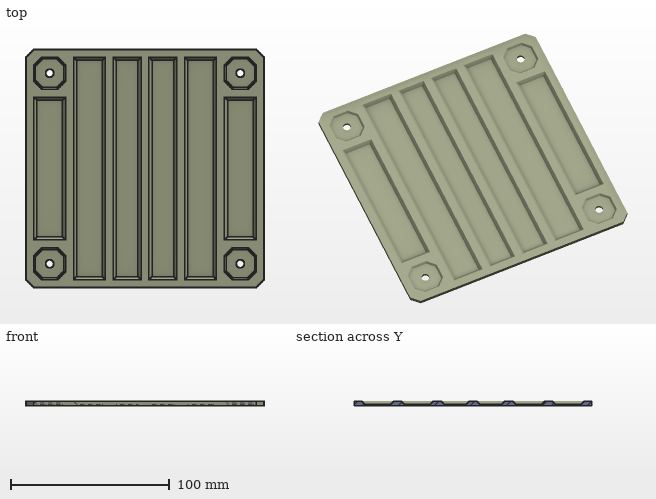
import cadquery as cq

side = 150.0
thickness = 3.0
margin = side / 30
recess_width = 4 * margin
narrow_pocket_width = 3.5 * margin
pocket_depth = 2.0
recess_depth = 1.0
hole_diameter = 5.0
wall_angle = 45

long_pocket_length = side - 2 * margin
short_pocket_length = long_pocket_length - 2 * (recess_width + margin)
edge_center = side / 2 - margin - recess_width / 2
wide_center = edge_center - recess_width - margin
narrow_center = (margin + narrow_pocket_width) / 2


def make_plate():
    """Square plate with chamfered corners and its top face at Z = 0."""
    plate = cq.Workplane("XY").rect(side, side).extrude(-thickness)
    return plate.edges("|Z").chamfer(margin)


def make_pocket(center_x, width, length):
    """Rectangular pocket narrowing towards its floor."""
    outline = cq.Workplane("XY").center(center_x, 0).rect(width, length)
    return outline.extrude(-pocket_depth, taper=wall_angle)


def make_corner_recess(center_x, center_y):
    """Octagonal recess with sloped walls and a through hole."""
    half_width = recess_width / 2
    half_flat = half_width - margin
    corners = [
        (half_width, half_flat),
        (half_flat, half_width),
        (-half_flat, half_width),
        (-half_width, half_flat),
        (-half_width, -half_flat),
        (-half_flat, -half_width),
        (half_flat, -half_width),
        (half_width, -half_flat),
    ]
    base = cq.Workplane("XY").center(center_x, center_y)
    recess = base.polyline(corners).close().extrude(-recess_depth, taper=wall_angle)
    hole = cq.Workplane("XY").center(center_x, center_y).circle(hole_diameter / 2).extrude(-thickness)
    return recess.union(hole)


result = make_plate()
for side_x in (-1, 1):
    result = result.cut(make_pocket(side_x * narrow_center, narrow_pocket_width, long_pocket_length))
    result = result.cut(make_pocket(side_x * wide_center, recess_width, long_pocket_length))
    result = result.cut(make_pocket(side_x * edge_center, recess_width, short_pocket_length))
    for side_y in (-1, 1):
        result = result.cut(make_corner_recess(side_x * edge_center, side_y * edge_center))

result = result.translate((0, 0, thickness / 2))